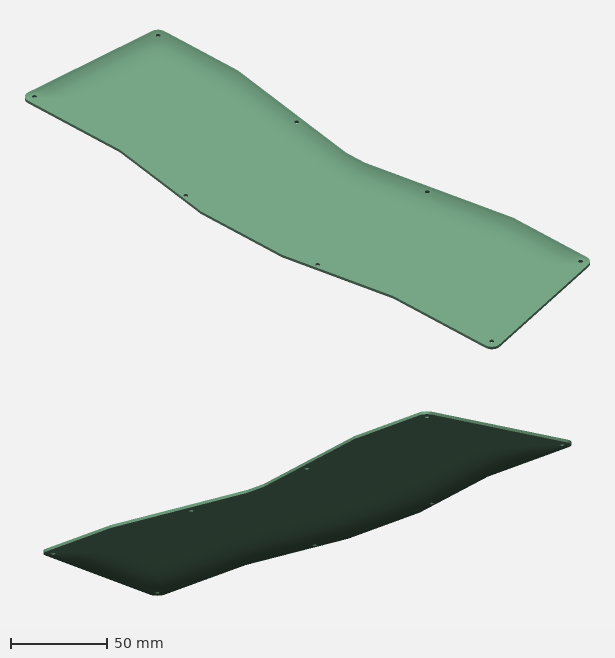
import cadquery as cq
import math

length = 329.7
width = 104.5
thickness = 1.6

back_y = width / 2
front_y = -width / 2
back_dip = 15.8
front_drop = 12.0
wing_front_y = front_y + front_drop
bend_angle = math.radians(10)
back_bend_x = 96.3
front_bend_x = 95.5
back_flat_x = back_bend_x - back_dip / math.tan(bend_angle)
front_flat_x = front_bend_x - front_drop / math.tan(bend_angle)

corner_radius = 5.0
end_tilt = math.radians(8.4)
front_center_x = length / 2 - corner_radius
front_center_y = wing_front_y + corner_radius
back_center_y = back_y - corner_radius
back_center_x = front_center_x - (back_center_y - front_center_y) * math.tan(end_tilt)
end_offset_x = corner_radius / math.cos(end_tilt)
corner_shift_x = corner_radius * math.tan(end_tilt)
front_corner_x = front_center_x + end_offset_x + corner_shift_x
back_corner_x = back_center_x + end_offset_x - corner_shift_x

hole_diameter = 2.5
left_hole_x = -43.5
right_hole_x = 47.8
inner_back_hole_y = 39.2
left_front_hole_y = -47.0
right_front_hole_y = -46.0
hole_centers = [
    (-front_center_x, front_center_y),
    (front_center_x, front_center_y),
    (-back_center_x, back_center_y),
    (back_center_x, back_center_y),
    (left_hole_x, inner_back_hole_y),
    (right_hole_x, inner_back_hole_y),
    (left_hole_x, left_front_hole_y),
    (right_hole_x, right_front_hole_y),
]


def make_plate():
    """Flat plate, symmetric about the YZ plane, with rounded end corners."""
    right_half = [
        (front_flat_x, front_y),
        (front_bend_x, wing_front_y),
        (front_corner_x, wing_front_y),
        (back_corner_x, back_y),
        (back_bend_x, back_y),
        (back_flat_x, back_y - back_dip),
    ]
    left_half = [(-x, y) for x, y in reversed(right_half)]
    plate = cq.Workplane("XY").polyline(right_half + left_half).close().extrude(thickness)
    for end in (">X", "<X"):
        plate = plate.faces(end).edges("|Z").fillet(corner_radius)
    return plate


def drill_holes(plate):
    """Cut the through holes."""
    holes = cq.Workplane("XY").pushPoints(hole_centers).circle(hole_diameter / 2).extrude(thickness)
    return plate.cut(holes)


result = drill_holes(make_plate())